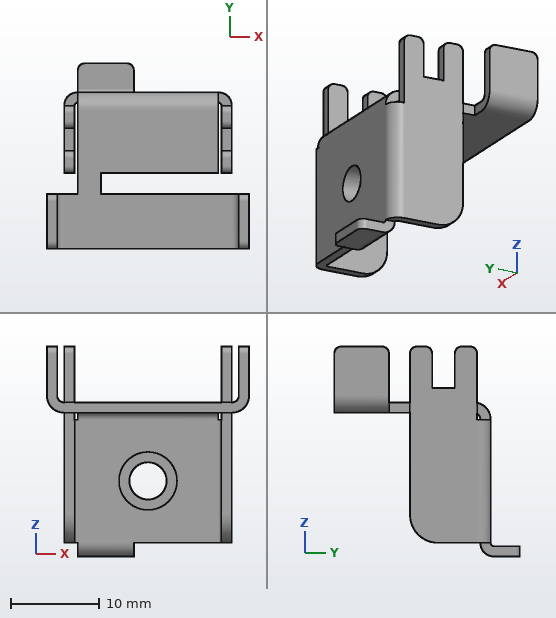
import cadquery as cq

sheet = 1.2
tight_bend = 0.35
wide_bend = 0.76
tight_outer = tight_bend + sheet
wide_outer = wide_bend + sheet
corner_radius = 0.8

width = 22.93
height = 23.8
depth = 21.02

frame_width = width - 2 * wide_outer
plate_width = frame_width - 2 * tight_outer
shelf_top = 17.48
plate_bottom = tight_outer
plate_top = shelf_top - wide_outer
plate_left = -plate_width / 2

flange_front = -9.17
flange_rear = -tight_outer
flange_corner = 3.2
prong_width = (flange_rear - flange_front) / 3
notch_depth = 4.7

tongue_width = 6.38
tongue_rear = 3.29

tray_front = tongue_rear - depth
tray_depth = 6.21
tray_rear = tray_front + tray_depth
neck_width = 2.67

hole_radius = 2.1
collar_radius = hole_radius + sheet
collar_height = 1.0
hole_z = 8.57


def box(x0, x1, y0, y1, z0, z1):
    """Box between two opposite corners."""
    return cq.Workplane("XY").box(x1 - x0, y1 - y0, z1 - z0, centered=False).translate((x0, y0, z0))


def bend(plane, center, across, up, inner_radius, length):
    """Quarter ring of sheet; across and up (+1 or -1) choose its quadrant, length is the extrusion."""
    outer_radius = inner_radius + sheet
    diagonal = 0.5 ** 0.5
    u, v = center

    def point(a, b):
        return (u + across * a, v + up * b)

    return (
        cq.Workplane(plane)
        .moveTo(*point(inner_radius, 0))
        .lineTo(*point(outer_radius, 0))
        .threePointArc(point(outer_radius * diagonal, outer_radius * diagonal), point(0, outer_radius))
        .lineTo(*point(0, inner_radius))
        .threePointArc(point(inner_radius * diagonal, inner_radius * diagonal), point(inner_radius, 0))
        .close()
        .extrude(length)
    )


def make_rear_plate():
    return box(plate_left, -plate_left, -sheet, 0, plate_bottom, plate_top)


def make_shelf():
    curve = bend("YZ", (-wide_outer, plate_top), 1, 1, wide_bend, plate_width)
    flat = box(plate_left, -plate_left, flange_front, -wide_outer, shelf_top - sheet, shelf_top)
    return flat.union(curve.translate((plate_left, 0, 0)))


def make_flange():
    """Flange on the +X side with two prongs, and the bend that joins it to the rear plate."""
    outer_x = frame_width / 2
    flat = box(outer_x - sheet, outer_x, flange_front, flange_rear, plate_bottom, height)
    flat = flat.edges("|X and <Y and <Z").fillet(flange_corner)
    notch_bottom = height - notch_depth
    notch = box(
        outer_x - sheet, outer_x,
        flange_front + prong_width, flange_rear - prong_width,
        notch_bottom, height,
    )
    flat = flat.cut(notch).edges("|X and >Z").fillet(corner_radius)
    curve = bend("XY", (-plate_left, -tight_outer), 1, 1, tight_bend, plate_top - plate_bottom)
    return flat.union(curve.translate((0, 0, plate_bottom)))


def make_tongue():
    """Foot that bends from the bottom of the rear plate and runs rearward."""
    curve = bend("YZ", (tight_bend, tight_outer), -1, -1, tight_bend, tongue_width)
    flat = box(plate_left, plate_left + tongue_width, tight_bend, tongue_rear, 0, sheet)
    flat = flat.edges("|Z and >Y").fillet(corner_radius)
    return flat.union(curve.translate((plate_left, 0, 0)))


def make_tray():
    half_floor = frame_width / 2
    floor = box(-half_floor, half_floor, tray_front, tray_rear, shelf_top - sheet, shelf_top)
    neck = box(plate_left, plate_left + neck_width, tray_rear, flange_front, shelf_top - sheet, shelf_top)
    bend_top = shelf_top + wide_bend
    end = box(width / 2 - sheet, width / 2, tray_front, tray_rear, bend_top, height)
    end = end.edges("|X and >Z").fillet(corner_radius)
    curve = bend("XZ", (half_floor, bend_top), 1, -1, wide_bend, tray_depth)
    end = end.union(curve.translate((0, tray_rear, 0)))
    return floor.union(neck).union(end).union(end.mirror("YZ"))


def make_cylinder(radius, length):
    """Cylinder on the hole axis, running from the outer face of the plate toward -Y."""
    return cq.Workplane("XZ").center(0, hole_z).circle(radius).extrude(length)


flange = make_flange()
result = (
    make_rear_plate()
    .union(make_shelf())
    .union(flange)
    .union(flange.mirror("YZ"))
    .union(make_tongue())
    .union(make_tray())
    .union(make_cylinder(collar_radius, sheet + collar_height))
    .cut(make_cylinder(hole_radius, sheet + collar_height))
)